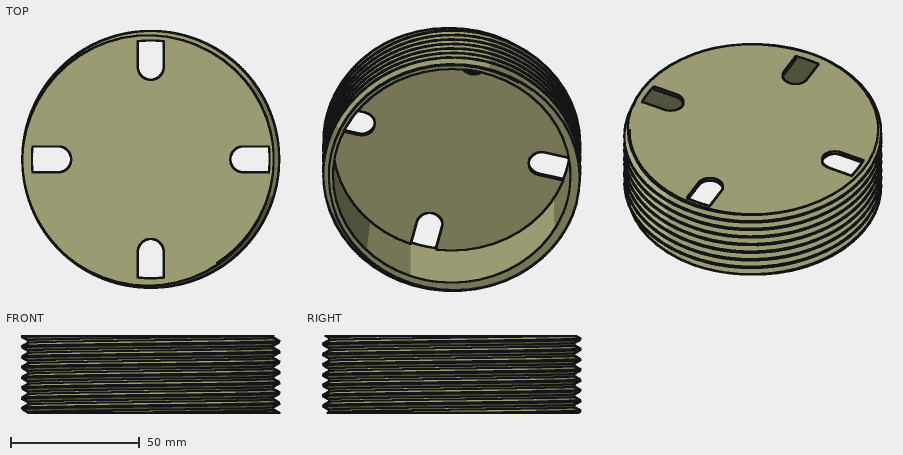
import cadquery as cq

outer_radius = 50.0
height = 30.0
cap_thickness = 1.5
cavity_radius = 46.2

pitch = 4.0
thread_depth = 0.54 * pitch
crest_width = pitch / 8
root_width = pitch / 4
root_radius = outer_radius - thread_depth
crest_offset = -crest_width / 2
root_overlap = 0.1
thread_overrun = 2 * pitch
core_overrun = 3 * pitch

slot_count = 4
slot_width = 10.0
slot_inner_reach = 31.0


def make_thread():
    """Helical ridge that overruns the body at both ends."""
    start = crest_offset - thread_overrun
    length = height + 2 * thread_overrun
    crest_half = crest_width / 2
    flank_slope = (pitch - root_width - crest_width) / 2 / thread_depth
    foot_radius = root_radius - root_overlap
    foot_half = crest_half + flank_slope * (outer_radius - foot_radius)
    corners = [
        (foot_radius, -foot_half),
        (outer_radius, -crest_half),
        (outer_radius, crest_half),
        (foot_radius, foot_half),
    ]
    edges = [
        cq.Wire.makeHelix(pitch, length, radius).translate(cq.Vector(0, 0, start + rise))
        for radius, rise in corners
    ]

    faces = []
    for edge, next_edge in zip(edges, edges[1:] + edges[:1]):
        faces.extend(cq.Face.makeRuledSurface(edge, next_edge).Faces())
    for end in (0, 1):
        outline = cq.Wire.makePolygon([edge.positionAt(end) for edge in edges], close=True)
        faces.append(cq.Face.makeFromWires(outline))
    return cq.Workplane(obj=cq.Solid.makeSolid(cq.Shell.makeShell(faces)))


def make_slot():
    """Slot cutter along +X, bounded outside by the cavity wall."""
    round_centre = slot_inner_reach + slot_width / 2
    straight = (
        cq.Workplane("XY")
        .center((round_centre + outer_radius) / 2, 0)
        .rect(outer_radius - round_centre, slot_width)
        .extrude(height)
    )
    round_end = cq.Workplane("XY").center(round_centre, 0).circle(slot_width / 2).extrude(height)
    wall_limit = cq.Workplane("XY").circle(cavity_radius).extrude(height)
    return straight.union(round_end).intersect(wall_limit)


overlong_core = (
    cq.Workplane("XY")
    .workplane(offset=-core_overrun)
    .circle(root_radius)
    .extrude(height + 2 * core_overrun)
)
envelope = cq.Workplane("XY").circle(outer_radius + pitch).extrude(height)
threaded = overlong_core.union(make_thread(), clean=False)
result = threaded.intersect(envelope, clean=False)

cavity = cq.Workplane("XY").circle(cavity_radius).extrude(height - cap_thickness)
result = result.cut(cavity, clean=False)

slot = make_slot()
for index in range(slot_count):
    turned_slot = slot.rotate((0, 0, 0), (0, 0, 1), index * 360 / slot_count)
    result = result.cut(turned_slot, clean=False)